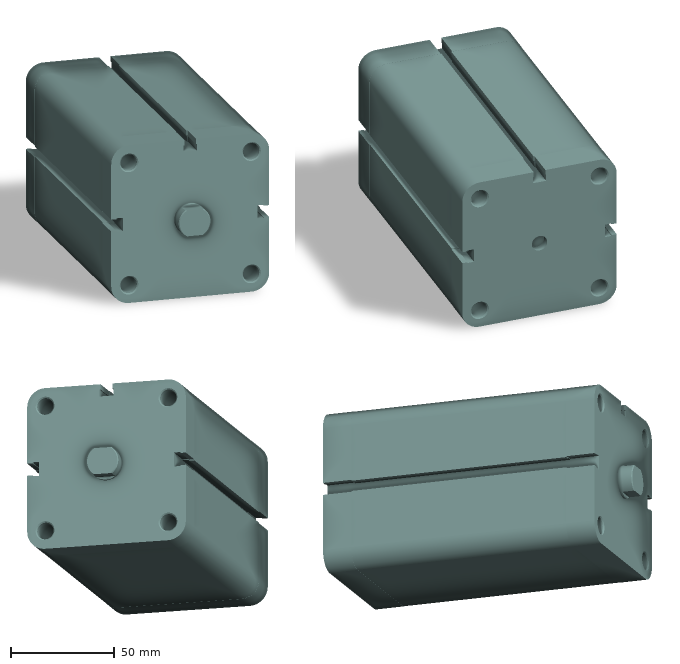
import cadquery as cq

TOTAL_LENGTH = 147.5
WIDTH = 80.0
BARREL_WIDTH = 79.8
CAP_LENGTH = 14.6
ROD_PROTRUSION = 7.5
HOUSING_LENGTH = TOTAL_LENGTH - ROD_PROTRUSION
BARREL_LENGTH = HOUSING_LENGTH - 2 * CAP_LENGTH
FRONT_CAP_START = HOUSING_LENGTH - CAP_LENGTH

CORNER_RADIUS = 9.0
BOLT_OFFSET = WIDTH / 2 - CORNER_RADIUS
BOLT_DIAMETER = 8.3
BOLT_HOLE_CHAMFER = 0.6

SLOT_DEPTH = 6.0
SLOT_LIP = 2.7
CAP_MOUTH_WIDTH = 6.0
CAP_SLOT_WIDTH = 7.0
BARREL_MOUTH_WIDTH = 5.2
BARREL_SLOT_WIDTH = 6.0
SLOT_ANGLES = (-90, 0, 90)

PORT_DIAMETER = 8.0
PORT_DEPTH = 4.0

ROD_DIAMETER = 16.1
ROD_CHAMFER = 0.5
FLAT_SPACING = 13.0
COLLAR_LENGTH = 1.3
COLLAR_CHAMFER = 0.5


def disc(diameter, start, length):
    """Cylinder along X, centred on the axis of the part."""
    return cq.Workplane("YZ", origin=(start, 0, 0)).circle(diameter / 2).extrude(length)


def slot_cutter(start, length, mouth_width, slot_width):
    """Stepped bar that cuts the undercut slot in the top face."""
    top = WIDTH / 2
    mouth = (
        cq.Workplane("YZ", origin=(start, 0, top - SLOT_LIP / 2))
        .rect(mouth_width, SLOT_LIP)
        .extrude(length)
    )
    channel_depth = SLOT_DEPTH - SLOT_LIP
    channel = (
        cq.Workplane("YZ", origin=(start, 0, top - SLOT_LIP - channel_depth / 2))
        .rect(slot_width, channel_depth)
        .extrude(length)
    )
    return mouth.union(channel)


def make_section(start, length, width, mouth_width, slot_width):
    """Rounded square block with four bolt holes and three slots along X."""
    block = (
        cq.Workplane("YZ", origin=(start, 0, 0))
        .rect(width, width)
        .extrude(length)
        .edges("|X")
        .fillet(width / 2 - BOLT_OFFSET)
    )
    bolt_holes = (
        cq.Workplane("YZ", origin=(start, 0, 0))
        .rect(2 * BOLT_OFFSET, 2 * BOLT_OFFSET, forConstruction=True)
        .vertices()
        .circle(BOLT_DIAMETER / 2)
        .extrude(length)
    )
    block = block.cut(bolt_holes)
    cutter = slot_cutter(start, length, mouth_width, slot_width)
    for angle in SLOT_ANGLES:
        block = block.cut(cutter.rotate((0, 0, 0), (1, 0, 0), angle))
    return block


def make_cap(start, outer_face):
    """End cap whose bolt holes are chamfered at the outer face, "<X" or ">X"."""
    cap = make_section(start, CAP_LENGTH, WIDTH, CAP_MOUTH_WIDTH, CAP_SLOT_WIDTH)
    return cap.faces(outer_face).edges(cq.selectors.RadiusNthSelector(0)).chamfer(BOLT_HOLE_CHAMFER)


def make_barrel():
    return make_section(
        CAP_LENGTH, BARREL_LENGTH, BARREL_WIDTH, BARREL_MOUTH_WIDTH, BARREL_SLOT_WIDTH
    )


def make_rear_cap():
    """Cap with a central port that the barrel closes."""
    return make_cap(0, "<X").cut(disc(PORT_DIAMETER, 0, PORT_DEPTH))


def make_front_cap():
    """Cap with a through bore for the rod."""
    return make_cap(FRONT_CAP_START, ">X").cut(disc(ROD_DIAMETER, FRONT_CAP_START, CAP_LENGTH))


def make_rod():
    """Rod from the barrel face to the tip, with two wrench flats outside the cap."""
    rod = disc(ROD_DIAMETER, FRONT_CAP_START, CAP_LENGTH + ROD_PROTRUSION)
    rod = rod.faces(">X").chamfer(ROD_CHAMFER)
    wall_x = HOUSING_LENGTH + COLLAR_LENGTH
    flat_z = FLAT_SPACING / 2
    rod_radius = ROD_DIAMETER / 2
    flat_cutter = (
        cq.Workplane("XZ")
        .moveTo(wall_x, flat_z)
        .lineTo(wall_x, rod_radius - COLLAR_CHAMFER)
        .lineTo(wall_x - COLLAR_CHAMFER, rod_radius)
        .lineTo(TOTAL_LENGTH, rod_radius)
        .lineTo(TOTAL_LENGTH, flat_z)
        .close()
        .extrude(rod_radius, both=True)
    )
    rod = rod.cut(flat_cutter).cut(flat_cutter.mirror("XY"))
    return rod


rear_cap = make_rear_cap()
barrel = make_barrel()
front_cap = make_front_cap()
rod = make_rod()

result = cq.Compound.makeCompound([rear_cap.val(), barrel.val(), front_cap.val(), rod.val()])